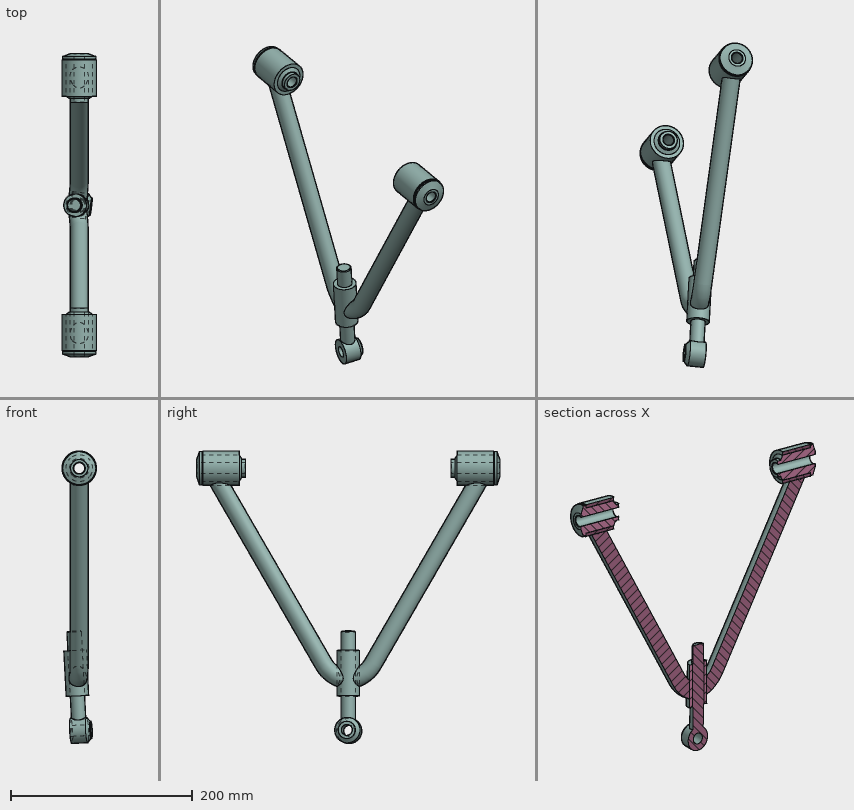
import cadquery as cq
import math

SPAN = 334.5
SHELL_DIA = 38.0
SHELL_BORE = 29.5
SHELL_INNER_Y = 120.0
SHELL_OUTER_Y = 160.3

SLEEVE_BORE = 12.0
SLEEVE_DIA = 20.0
SLEEVE_INNER_Y = 113.0
SLEEVE_CHAMFER = 0.7
INNER_CONE_DIA = 21.5
INNER_CONE_Y = 117.5
FLANGE_DIA = 37.0
FLANGE_EDGE_Y = 164.0
CROWN_DIA = 33.5
CROWN_Y = 164.5
HUMP_DIA = 24.0
HUMP_Y = 166.3
TIP_DIA = 19.0
RIM_GROOVE_DEPTH = 0.7
RIM_GROOVE_WIDTH = 1.0

TUBE_DIA = 20.0
TUBE_ANGLE = 60.0
BEND_RADIUS = 35.0
BEND_START_Y = 27.0
BEND_START_Z = -215.8
BEND_TURN = 40.0
BEND_LEAN = 10.0
TAIL_LENGTH = 8.5

LEAN = 3.0
HUB_DIA = 25.0
HUB_LENGTH = 50.2
ROD_DIA = 16.0
ROD_CHAMFER = 1.0
EYE_Z = -289.0
HUB_RISE = 38.0
ROD_RISE = 109.7

EYE_TURN = -7.0
EYE_DIA = 28.0
EYE_HOLE_DIA = 12.0
EYE_BACK = -9.0
EYE_SHOULDER = 8.7
EYE_CONE_END = 12.7
EYE_TIP = 13.5
EYE_NOSE_DIA = 19.0


def leaned(body):
    """Move a body from a vertical rod axis with the eye at the origin into place."""
    return body.rotate((0, 0, 0), (0, 1, 0), -LEAN).translate((0, 0, EYE_Z))


def mirrored_if(body, side):
    """Return the +Y body, or its mirror image for side = -1."""
    return body if side > 0 else body.mirror("XZ")


def shell_envelope():
    length = SHELL_OUTER_Y - SHELL_INNER_Y
    return (
        cq.Workplane("XZ", origin=(0, SHELL_OUTER_Y, 0))
        .circle(SHELL_DIA / 2)
        .extrude(length)
    )


def make_shell(side):
    bore = (
        cq.Workplane("XZ", origin=(0, SPAN / 2, 0))
        .circle(SHELL_BORE / 2)
        .extrude(SPAN / 2)
    )
    return mirrored_if(shell_envelope().cut(bore), side)


def make_bushing(side):
    groove_radius = FLANGE_DIA / 2 - RIM_GROOVE_DEPTH
    groove_end = SHELL_OUTER_Y + RIM_GROOVE_WIDTH
    profile = [
        (SLEEVE_BORE / 2, SLEEVE_INNER_Y + SLEEVE_CHAMFER),
        (SLEEVE_BORE / 2 + SLEEVE_CHAMFER, SLEEVE_INNER_Y),
        (SLEEVE_DIA / 2, SLEEVE_INNER_Y),
        (SLEEVE_DIA / 2, INNER_CONE_Y),
        (INNER_CONE_DIA / 2, INNER_CONE_Y),
        (SHELL_BORE / 2, SHELL_INNER_Y),
        (SHELL_BORE / 2, SHELL_OUTER_Y),
        (groove_radius, SHELL_OUTER_Y),
        (groove_radius, groove_end),
        (FLANGE_DIA / 2, groove_end),
        (FLANGE_DIA / 2, FLANGE_EDGE_Y),
        (CROWN_DIA / 2, CROWN_Y),
        (HUMP_DIA / 2, HUMP_Y),
        (TIP_DIA / 2, SPAN / 2),
        (SLEEVE_BORE / 2 + SLEEVE_CHAMFER, SPAN / 2),
        (SLEEVE_BORE / 2, SPAN / 2 - SLEEVE_CHAMFER),
    ]
    bushing = cq.Workplane("XY").polyline(profile).close().revolve(360, (0, 0, 0), (0, 1, 0))
    return mirrored_if(bushing, side)


def hub_envelope():
    blank = cq.Workplane("XY", origin=(0, 0, HUB_RISE)).circle(HUB_DIA / 2).extrude(HUB_LENGTH)
    return leaned(blank)


def tube_section():
    return cq.Workplane("XY").circle(TUBE_DIA / 2)


def make_tube(side):
    angle = math.radians(TUBE_ANGLE)
    run_length = -BEND_START_Z / math.sin(angle) - TUBE_DIA / 2

    straight = tube_section().extrude(run_length)
    bend_axis = ((0, -BEND_RADIUS, 0), (-1, -BEND_RADIUS, 0))
    bend = tube_section().revolve(BEND_TURN, *bend_axis)
    tail = tube_section().extrude(-TAIL_LENGTH).rotate(*bend_axis, BEND_TURN)
    blank = straight.union(bend).union(tail).rotate((0, 0, 0), (0, 0, 1), -BEND_LEAN)

    bend_start = cq.Plane(
        origin=(0, BEND_START_Y, BEND_START_Z),
        xDir=(1, 0, 0),
        normal=(0, math.cos(angle), math.sin(angle)),
    )
    tube = cq.Workplane(blank.val().moved(bend_start.location))
    tube = mirrored_if(tube.cut(shell_envelope()), side)
    return tube.cut(hub_envelope())


def make_hub():
    bore = cq.Workplane("XY").circle(ROD_DIA / 2).extrude(ROD_RISE)
    return hub_envelope().cut(leaned(bore))


def make_rod_end():
    eye_profile = [
        (EYE_BACK, 0),
        (EYE_BACK, EYE_DIA / 2),
        (EYE_SHOULDER, EYE_DIA / 2),
        (EYE_CONE_END, EYE_NOSE_DIA / 2),
        (EYE_TIP, EYE_NOSE_DIA / 2),
        (EYE_TIP, 0),
    ]
    eye = cq.Workplane("XZ").polyline(eye_profile).close().revolve(360, (0, 0, 0), (1, 0, 0))
    hole = (
        cq.Workplane("YZ", origin=(EYE_BACK, 0, 0))
        .circle(EYE_HOLE_DIA / 2)
        .extrude(EYE_TIP - EYE_BACK)
    )
    rod = (
        cq.Workplane("XY")
        .circle(ROD_DIA / 2)
        .extrude(ROD_RISE)
        .faces(">Z")
        .chamfer(ROD_CHAMFER)
    )
    rod_end = rod.union(eye).cut(hole)
    return leaned(rod_end.rotate((0, 0, 0), (0, 0, 1), EYE_TURN))


hub = make_hub()
rod_end = make_rod_end()
bodies = [*hub.solids().vals(), *rod_end.solids().vals()]
for side in (1, -1):
    for body in (make_shell(side), make_bushing(side), make_tube(side)):
        bodies.extend(body.solids().vals())

result = cq.Compound.makeCompound(bodies)